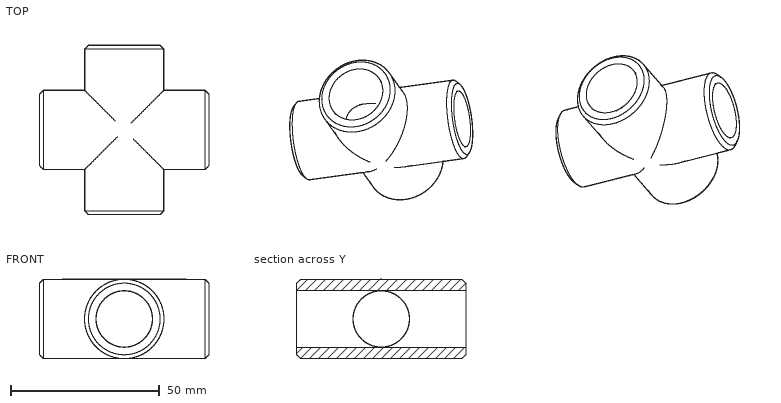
import cadquery as cq

length = 56.9
outer_diameter = 26.67
bore_diameter = 18.88
bevel = 1.3


def run(plane, diameter):
    """Solid cylinder of full run length, centred on the origin, along the plane normal."""
    return cq.Workplane(plane).circle(diameter / 2).extrude(length / 2, both=True)


def bevelled_run(plane):
    return run(plane, outer_diameter).faces("%PLANE").edges().chamfer(bevel)


body = bevelled_run("YZ").union(bevelled_run("XZ"))
bores = run("YZ", bore_diameter).union(run("XZ", bore_diameter))

result = body.cut(bores)